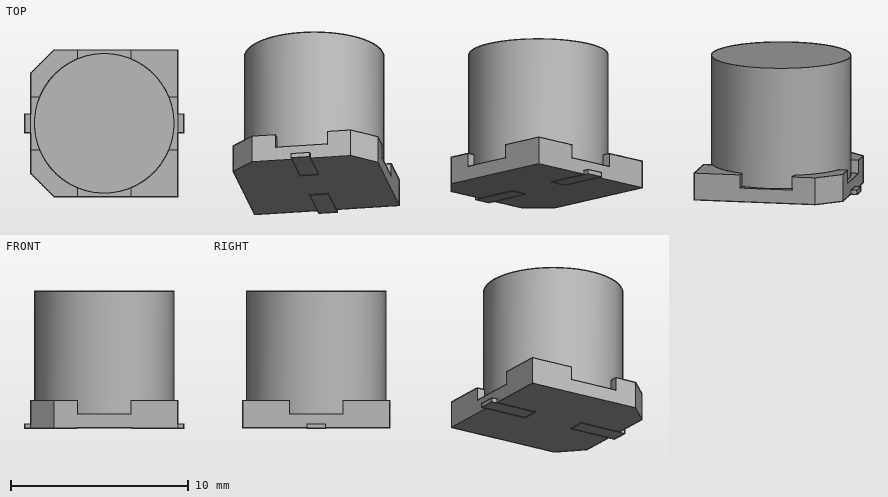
import cadquery as cq

total_length = 8.99
total_height = 7.75

base_side = 8.31
base_bottom = 0.04
base_top = 1.58
corner_chamfer = 1.32

notch_width = 2.99
notch_depth = 0.755
notch_floor = base_top - notch_depth

can_diameter = 7.88

lead_width = 1.07
lead_height = 0.25
lead_inner_end = 1.555
lead_length = total_length / 2 - lead_inner_end


def box_from(bottom, size_x, size_y, height, center_x=0.0):
    """Box centred on Y = 0, with its underside at the given height."""
    return (
        cq.Workplane("XY", origin=(center_x, 0, bottom))
        .box(size_x, size_y, height, centered=(True, True, False))
    )


def make_can():
    return (
        cq.Workplane("XY", origin=(0, 0, notch_floor))
        .circle(can_diameter / 2)
        .extrude(total_height - notch_floor)
    )


def make_lead(side):
    """Lead on the +X side (side = 1) or the -X side (side = -1)."""
    center_x = side * (lead_inner_end + lead_length / 2)
    return box_from(0, lead_length, lead_width, lead_height, center_x)


def make_base(can, leads):
    base = box_from(base_bottom, base_side, base_side, base_top - base_bottom)
    base = base.edges("|Z and <X").chamfer(corner_chamfer)
    base = base.cut(box_from(notch_floor, base_side, notch_width, notch_depth))
    base = base.cut(box_from(notch_floor, notch_width, base_side, notch_depth))
    base = base.cut(can)
    for lead in leads:
        base = base.cut(lead)
    return base.solids()


can = make_can()
leads = [make_lead(side) for side in (-1, 1)]
base = make_base(can, leads)

result = cq.Compound.makeCompound([base.val(), can.val(), *[lead.val() for lead in leads]])